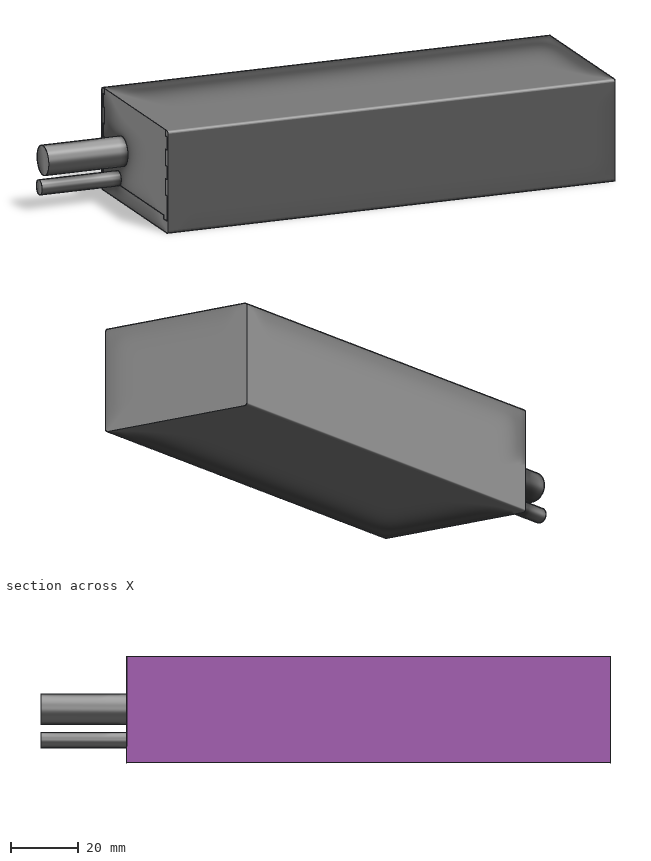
import cadquery as cq

width = 51.0
height = 31.4
total_length = 167.9
cable_length = 25.2
body_length = total_length - cable_length
edge_radius = 0.8

groove_wall = 1.0
lip_wall = 2.0
ledge_height = 3.7
floor_height = 4.9
floor_inset = 3.5
end_recess = 0.08

groove_count = 2
top_lip_height = 1.8
groove_height = 4.0
lip_height = 5.0

main_cable_diameter = 9.0
main_cable_x = -10.0
main_cable_z = 15.8
thin_cable_diameter = 4.5
thin_cable_x = -13.0
thin_cable_z = 6.7


def make_body():
    """Block with its four long edges rounded."""
    block = cq.Workplane("XY").box(width, body_length, height, centered=(True, False, False))
    return block.edges("|Y").fillet(edge_radius)


def filling_side():
    """Right-hand outline of the filling, from the top down to the raised floor."""
    lip_x = width / 2 - lip_wall
    groove_x = width / 2 - groove_wall
    step_x = width / 2 - floor_inset

    points = [(lip_x, height)]
    groove_top = height - top_lip_height
    for _ in range(groove_count):
        groove_bottom = groove_top - groove_height
        points += [
            (lip_x, groove_top),
            (groove_x, groove_top),
            (groove_x, groove_bottom),
            (lip_x, groove_bottom),
        ]
        groove_top = groove_bottom - lip_height

    points += [
        (lip_x, groove_top),
        (groove_x, groove_top),
        (groove_x, ledge_height),
        (step_x, ledge_height),
        (step_x, floor_height),
    ]
    return points


def make_end_recess():
    """Shallow recess of the filling in the -Y end, mirrored about x = 0."""
    right = filling_side()
    left = [(-x, z) for x, z in reversed(right)]
    return cq.Workplane("XZ").polyline(right + left).close().extrude(-end_recess)


def make_cable(diameter, x, z):
    """Round cable from the recessed filling out to cable_length beyond the housing."""
    start = cq.Workplane("XZ", origin=(x, end_recess, z))
    return start.circle(diameter / 2).extrude(end_recess + cable_length)


result = (
    make_body()
    .cut(make_end_recess())
    .union(make_cable(main_cable_diameter, main_cable_x, main_cable_z))
    .union(make_cable(thin_cable_diameter, thin_cable_x, thin_cable_z))
)